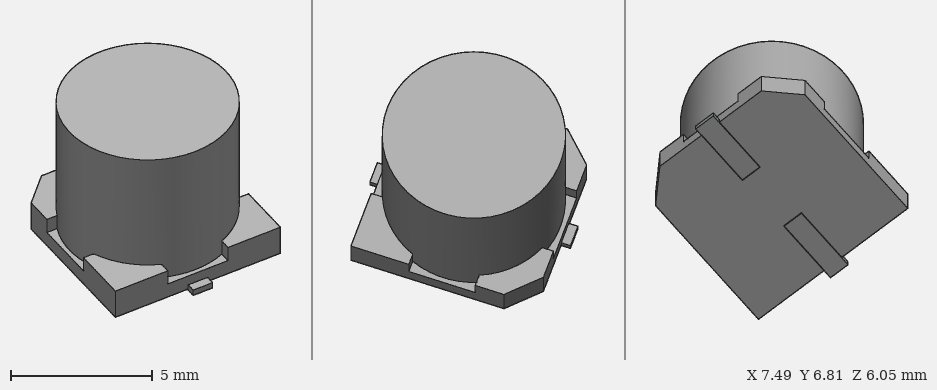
import cadquery as cq

lead_span = 7.49
base_side = 6.81
total_height = 6.05

can_diameter = 6.465

standoff = 0.05
base_top = 1.25
notch_floor = 0.65
notch_width = 2.48
corner_chamfer = 1.09

lead_length = 2.59
lead_width = 0.8
lead_thickness = 0.25


def box_between(size_x, size_y, bottom, top):
    """Box centred on the Z axis, spanning two heights."""
    return (
        cq.Workplane("XY")
        .workplane(offset=bottom)
        .rect(size_x, size_y)
        .extrude(top - bottom)
    )


def make_base():
    """Square base with two chamfered corners and a notch in each side wall."""
    base = box_between(base_side, base_side, standoff, base_top)
    base = base.edges("|Z and <X").chamfer(corner_chamfer)
    base = base.cut(box_between(base_side, notch_width, notch_floor, base_top))
    return base.cut(box_between(notch_width, base_side, notch_floor, base_top))


def make_can():
    """Cylindrical can standing on the notch floor."""
    return (
        cq.Workplane("XY")
        .workplane(offset=notch_floor)
        .circle(can_diameter / 2)
        .extrude(total_height - notch_floor)
    )


def make_lead(side):
    """Flat lead under the base, pointing out along side * X."""
    center_x = side * (lead_span - lead_length) / 2
    return box_between(lead_length, lead_width, 0, lead_thickness).translate((center_x, 0, 0))


result = make_base().union(make_can())
for side in (-1, 1):
    result = result.union(make_lead(side))